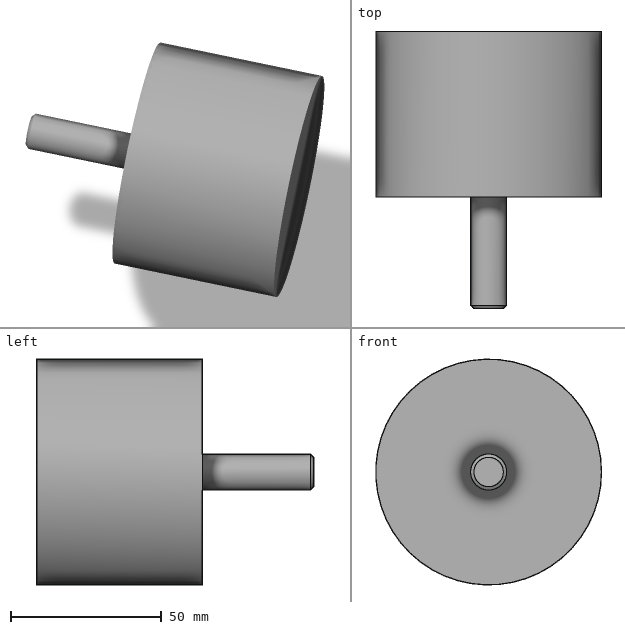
import cadquery as cq

total_length = 92.0
body_diameter = 75.0
body_length = 55.0
stud_diameter = 12.0
stud_chamfer = 1.1

stud_length = total_length - body_length

body = cq.Workplane("XZ").circle(body_diameter / 2).extrude(-body_length)

stud = (
    cq.Workplane("XZ")
    .circle(stud_diameter / 2)
    .extrude(stud_length)
    .faces("<Y")
    .chamfer(stud_chamfer)
)

result = body.union(stud)